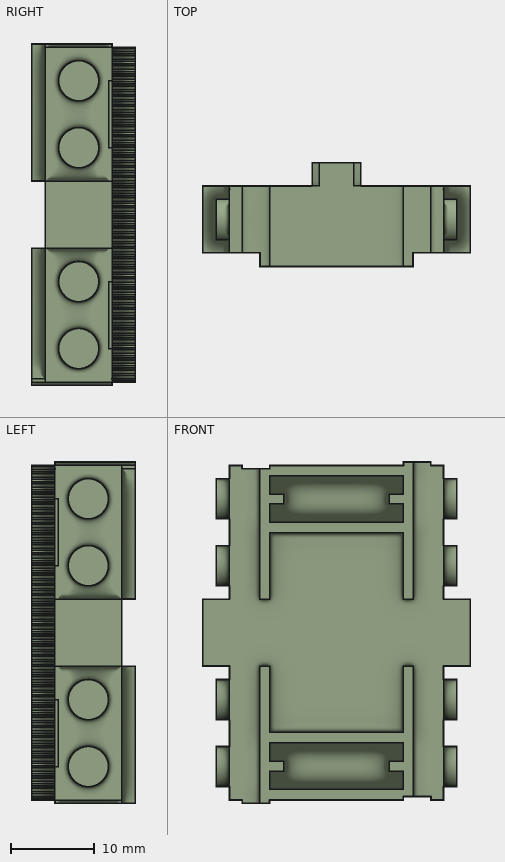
import cadquery as cq

grid = 8.0

body_width = 25.6
body_depth = grid
body_height = 40.0

arm_span = 4 * grid
arm_height = grid

key_inner_x = grid
key_width = 3.25
key_height = 0.4

frame_half_width = 9.15
frame_depth = 1.65
frame_gap_height = arm_height
opening_half_width = key_inner_x
wall = 1.25
window_height = 5.55

tab_length = 1.7
tab_height = 1.15

pin_diameter = 4.8
pin_length = 1.6

relief_size = 0.4

rack_depth = 2.77
rack_width = 5.8
tooth_count = 33
tooth_pitch = body_height / tooth_count
tooth_height = 0.8
tooth_tip_width = 0.26
tooth_flank_rise = 0.275

SIDES = (-1, 1)
half_height = body_height / 2
window_z = half_height - wall - window_height / 2
window_bottom = window_z - window_height / 2
pocket_depth = frame_depth + body_depth - wall


def block(x_range, y_range, z_range):
    """Box between two limits, in either order, along each axis."""
    lows, highs = zip(*(sorted(limits) for limits in (x_range, y_range, z_range)))
    sizes = [high - low for low, high in zip(lows, highs)]
    return cq.Workplane("XY").box(*sizes, centered=False).translate(lows)


def centred_block(width, y_range, height, x=0, z=0):
    """Box centred on x and z, between two limits along Y."""
    return block((x - width / 2, x + width / 2), y_range, (z - height / 2, z + height / 2))


def make_body():
    body = centred_block(body_width, (0, body_depth), body_height)
    return body.union(centred_block(arm_span, (0, body_depth), arm_height))


def make_frame():
    """Front frame: upper and lower halves, each with two rails and two cross bars."""
    y_range = (-frame_depth, 0)
    frame = centred_block(2 * frame_half_width, y_range, body_height)
    frame = frame.cut(centred_block(2 * frame_half_width, y_range, frame_gap_height))
    return frame.cut(centred_block(2 * opening_half_width, y_range, 2 * (window_bottom - wall)))


def make_window(end):
    """Pocket behind one frame window, leaving a tab standing on each side wall."""
    y_range = (-frame_depth, pocket_depth - frame_depth)
    z = end * window_z
    window = centred_block(2 * opening_half_width, y_range, window_height, z=z)
    for side in SIDES:
        x = side * (opening_half_width - tab_length / 2)
        window = window.cut(centred_block(tab_length, y_range, tab_height, x=x, z=z))
    return window


def make_key(side, end, height):
    """Strip across an end face, front to back: outward if height is positive, inward if not."""
    return block(
        (side * key_inner_x, side * (key_inner_x + key_width)),
        (-frame_depth, body_depth),
        (end * half_height, end * (half_height + height)),
    )


def make_key_pad(side, end):
    """Raised pad, cut away in front of the body where there is no rail."""
    corner = block(
        (side * frame_half_width, side * body_width / 2),
        (-frame_depth, 0),
        (end * half_height, end * (half_height + key_height)),
    )
    return make_key(side, end, key_height).cut(corner)


def make_pin(side, z):
    face = cq.Plane(
        origin=(side * body_width / 2, body_depth / 2, z),
        xDir=(0, 1, 0),
        normal=(side, 0, 0),
    )
    return cq.Workplane(face).circle(pin_diameter / 2).extrude(pin_length)


def make_edge_relief(side, end):
    edge_x = side * body_width / 2
    return block(
        (edge_x - side * relief_size, edge_x),
        (body_depth - relief_size, body_depth),
        (end * grid, end * 2 * grid),
    )


def make_rack():
    """Bar with straight-flanked rack teeth along both sides."""
    tip_x = rack_width / 2
    root_x = tip_x - tooth_height
    tip_half = tooth_tip_width / 2
    root_half = tip_half + tooth_flank_rise

    edge = [(root_x, -half_height)]
    for index in range(tooth_count):
        z = (index - (tooth_count - 1) / 2) * tooth_pitch
        edge.append((root_x, z - root_half))
        edge.append((tip_x, z - tip_half))
        edge.append((tip_x, z + tip_half))
        edge.append((root_x, z + root_half))
    edge.append((root_x, half_height))

    opposite_edge = [(-x, z) for x, z in reversed(edge)]
    profile = cq.Workplane("XZ", origin=(0, body_depth, 0)).polyline(edge + opposite_edge).close()
    return profile.extrude(-rack_depth)


result = make_body().union(make_frame())

for end in SIDES:
    result = result.cut(make_window(end))
    result = result.union(make_key_pad(end, end))
    result = result.cut(make_key(-end, end, -key_height))

for side in SIDES:
    for end in SIDES:
        for step in (1, 2):
            result = result.union(make_pin(side, end * step * grid))
        result = result.cut(make_edge_relief(side, end))

result = result.union(make_rack())